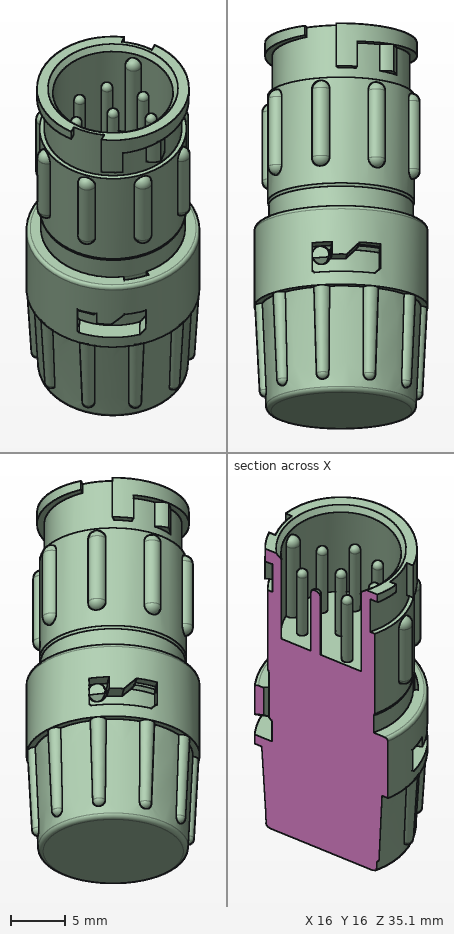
import cadquery as cq
import math


TOTAL_HEIGHT = 35.05
COLLAR_BOTTOM = 9.9
COLLAR_TOP = 17.45
SLEEVE_BOTTOM = 19.6
SLEEVE_TOP = 29.97

SHELL_BOTTOM_RADIUS = 6.9
SHELL_TOP_RADIUS = 7.35
COLLAR_RADIUS = 8.0
GROOVE_RADIUS = 6.65
SLEEVE_RADIUS = 6.75
NECK_RADIUS = 6.35
SHELL_FILLET = 0.45
COLLAR_FILLET = 0.35
SLEEVE_CHAMFER_HEIGHT = 0.28

COLLAR_TURN = 20.0

SHELL_RIB_COUNT = 10
SHELL_RIB_PITCH = 360 / SHELL_RIB_COUNT
SHELL_RIB_TOP = 9.9
SHELL_RIB_BOTTOM = 1.75
SHELL_RIB_TOP_RADIUS = 0.77
SHELL_RIB_BOTTOM_RADIUS = 0.6
SHELL_RIB_TOP_OFFSET = 7.2
SHELL_RIB_BOTTOM_OFFSET = 6.95
SHELL_RIB_OVERLAP = 0.35

SLEEVE_RIB_COUNT = 8
SLEEVE_RIB_BOTTOM = 22.4
SLEEVE_RIB_TOP = 28.88
SLEEVE_RIB_RADIUS = 0.85
SLEEVE_RIB_OFFSET = 6.7

FLANGE_RADIUS = 7.0
FLANGE_GAP = 2.98
FLANGE_OVERLAP = 0.53
LEG_OUTER_EDGE = 3.33
LEG_BOTTOM = 31.0
RAMP_START_Z = 33.37
RAMP_END_Z = 34.15
DETENT_ANGLE = 60
DETENT_HALF_ANGLE = 10
DETENT_BULGE = 0.15
DETENT_OVERLAP = 0.35

SLOT_HALF_LENGTH = 3.15
SLOT_BOTTOM = 11.1
SLOT_TOP = 13.95
SLOT_TAB_BOTTOM = 12.75
SLOT_TAB_START = -1.35
SLOT_CHAMFER = 0.55
SLOT_SMALL_CHAMFER = 0.18
SLOT_FLOOR_RADIUS = 6.38
FLOOR_BEVEL_HEIGHT = 0.35
ENTRY_RADIUS = 7.1
ENTRY_ANGLE = 39
ENTRY_HALF_ANGLE = 9.5

LOCK_PIN_RADIUS = 0.8
LOCK_PIN_Z = 13.07
LOCK_PIN_REACH = 6.9
LOCK_PIN_EMBED = 0.35
LOCK_PIN_BEVEL = LOCK_PIN_REACH - SLOT_FLOOR_RADIUS

BORE_RADIUS = 5.55
BORE_FLOOR = 24.55
BORE_CHAMFER_WIDTH = 0.45
BORE_CHAMFER_DEPTH = 0.53
CONTACT_RADIUS = 0.53
CONTACT_CIRCLE_RADIUS = 3.58
CONTACT_ANGLES = (0, 50, 100, 150, 210, 260, 310)
CONTACT_TOP = 32.35
KEY_RADIUS = 0.75
KEY_OFFSET = 5.22
KEY_TOP = 34.1
MARK_SIZE = 0.4
MARK_DEPTH = 0.18
MARK_X = -0.77
MARK_Y = 2.25

SEAM_ANGLE = 90

CUT_MARGIN = 0.35
UNTRIMMED_TOP = TOTAL_HEIGHT + CUT_MARGIN
HALF_TURN = (0, 180)
AXIS_START = (0, 0, 0)
AXIS_END = (0, 0, 1)


def turned(shape, angle):
    return shape.rotate(AXIS_START, AXIS_END, angle)


def polar(radius, angle):
    radians = math.radians(angle)
    return (radius * math.sin(radians), -radius * math.cos(radians))


def cylinder(radius, bottom, top, x=0.0, y=0.0):
    return cq.Workplane("XY", origin=(x, y, bottom)).circle(radius).extrude(top - bottom)


def ball(radius, x, y, z):
    return cq.Workplane("XY", origin=(x, y, z)).sphere(radius)


def domed_rod(radius, bottom, tip, x, y):
    dome_z = tip - radius
    return cylinder(radius, bottom, dome_z, x, y).union(ball(radius, x, y, dome_z))


def ring_sector(inner, outer, start, end, bottom, top):
    middle = (start + end) / 2
    return (
        cq.Workplane("XY", origin=(0, 0, bottom))
        .moveTo(*polar(inner, start))
        .lineTo(*polar(outer, start))
        .threePointArc(polar(outer, middle), polar(outer, end))
        .lineTo(*polar(inner, end))
        .threePointArc(polar(inner, middle), polar(inner, start))
        .close()
        .extrude(top - bottom)
    )


def turned_body():
    shell = (
        cq.Workplane("XZ")
        .polyline([(0, 0), (SHELL_BOTTOM_RADIUS, 0), (SHELL_TOP_RADIUS, COLLAR_BOTTOM), (0, COLLAR_BOTTOM)])
        .close()
        .revolve(360, AXIS_START, (0, 1, 0))
        .faces("<Z").edges().fillet(SHELL_FILLET)
    )
    collar = cylinder(COLLAR_RADIUS, COLLAR_BOTTOM, COLLAR_TOP).faces(">Z").edges().fillet(COLLAR_FILLET)
    groove = cylinder(GROOVE_RADIUS, COLLAR_TOP, SLEEVE_BOTTOM)
    sleeve = (
        cylinder(SLEEVE_RADIUS, SLEEVE_BOTTOM, SLEEVE_TOP)
        .faces("<Z").edges().chamfer(SLEEVE_CHAMFER_HEIGHT, SLEEVE_RADIUS - GROOVE_RADIUS)
    )
    back = turned(shell.union(collar), COLLAR_TURN - SEAM_ANGLE)
    return back.union(groove).union(sleeve)


def shell_rib():
    height = SHELL_RIB_TOP - SHELL_RIB_BOTTOM
    stretch = (height + SHELL_RIB_OVERLAP) / height
    lean = SHELL_RIB_TOP_OFFSET - SHELL_RIB_BOTTOM_OFFSET
    foot = cq.Vector(0, -SHELL_RIB_BOTTOM_OFFSET, SHELL_RIB_BOTTOM)
    direction = cq.Vector(0, -lean, height)
    cone = cq.Solid.makeCone(
        SHELL_RIB_BOTTOM_RADIUS, SHELL_RIB_TOP_RADIUS, direction.Length * stretch, foot, direction
    )
    return cq.Workplane(cone).union(ball(SHELL_RIB_BOTTOM_RADIUS, *foot.toTuple()))


def sleeve_rib():
    foot = ball(SLEEVE_RIB_RADIUS, 0, -SLEEVE_RIB_OFFSET, SLEEVE_RIB_BOTTOM)
    tip = SLEEVE_RIB_TOP + SLEEVE_RIB_RADIUS
    return domed_rod(SLEEVE_RIB_RADIUS, SLEEVE_RIB_BOTTOM, tip, 0, -SLEEVE_RIB_OFFSET).union(foot)


def flange_half():
    """Half of the flange: a leg, then a rim whose underside climbs along a helix."""
    inner = NECK_RADIUS - FLANGE_OVERLAP
    gap_edge_angle = math.degrees(math.asin(FLANGE_GAP / 2 / FLANGE_RADIUS))
    leg_end_angle = math.degrees(math.asin(LEG_OUTER_EDGE / FLANGE_RADIUS))
    rim_end_angle = 180 - gap_edge_angle
    leg = ring_sector(inner, FLANGE_RADIUS, gap_edge_angle, leg_end_angle, LEG_BOTTOM, UNTRIMMED_TOP)

    climb = RAMP_END_Z - RAMP_START_Z
    pitch = climb * 360 / (rim_end_angle - leg_end_angle)
    helices = [
        cq.Wire.makeHelix(pitch, climb, radius).Edges()[0]
        for radius in (inner, FLANGE_RADIUS + CUT_MARGIN)
    ]
    ramp = cq.Face.makeRuledSurface(*helices).translate(cq.Vector(0, 0, RAMP_START_Z))
    above_ramp = cq.Solid.extrudeLinear(ramp, cq.Vector(0, 0, UNTRIMMED_TOP - RAMP_START_Z))
    above_ramp = cq.Workplane(turned(above_ramp, leg_end_angle - 90))
    rim = ring_sector(
        inner, FLANGE_RADIUS, leg_end_angle, rim_end_angle, RAMP_START_Z, UNTRIMMED_TOP
    ).intersect(above_ramp)
    gap = (
        cq.Workplane("XY", origin=(0, 0, LEG_BOTTOM))
        .rect(FLANGE_GAP, 2 * COLLAR_RADIUS)
        .extrude(UNTRIMMED_TOP - LEG_BOTTOM)
    )
    return leg.union(rim).cut(gap)


def detent():
    """Upright ridge below the rim, rounded on its leading side and flat on the other."""
    inner = NECK_RADIUS - CUT_MARGIN
    return (
        cq.Workplane("XY", origin=(0, 0, LEG_BOTTOM))
        .moveTo(*polar(inner, DETENT_ANGLE))
        .lineTo(*polar(NECK_RADIUS, DETENT_ANGLE - DETENT_HALF_ANGLE))
        .sagittaArc(polar(FLANGE_RADIUS, DETENT_ANGLE), -DETENT_BULGE)
        .lineTo(*polar(NECK_RADIUS, DETENT_ANGLE + DETENT_HALF_ANGLE))
        .close()
        .extrude(RAMP_START_Z + DETENT_OVERLAP - LEG_BOTTOM)
    )


def mouth():
    """Neck with the bayonet flange and detents, left overlong and then trimmed level at the top."""
    body = cylinder(NECK_RADIUS, SLEEVE_TOP, UNTRIMMED_TOP)
    for angle in HALF_TURN:
        body = body.union(turned(flange_half(), angle)).union(turned(detent(), angle))
    return body.intersect(cylinder(COLLAR_RADIUS, SLEEVE_TOP, TOTAL_HEIGHT))


def collar_slot():
    """Stepped bayonet slot cut in to the inner body, with its entry channel to the collar top."""
    tab_rise = SLOT_TOP - SLOT_TAB_BOTTOM
    outline = [
        (-SLOT_HALF_LENGTH, SLOT_TOP),
        (SLOT_TAB_START, SLOT_TOP),
        (SLOT_TAB_START, SLOT_TAB_BOTTOM),
        (0, SLOT_TAB_BOTTOM),
        (tab_rise, SLOT_TOP),
        (SLOT_HALF_LENGTH, SLOT_TOP),
        (SLOT_HALF_LENGTH, SLOT_BOTTOM + SLOT_CHAMFER),
        (SLOT_HALF_LENGTH - SLOT_CHAMFER, SLOT_BOTTOM),
        (SLOT_SMALL_CHAMFER - SLOT_HALF_LENGTH, SLOT_BOTTOM),
        (-SLOT_HALF_LENGTH, SLOT_BOTTOM + SLOT_SMALL_CHAMFER),
    ]
    prism = cq.Workplane("XZ").polyline(outline).close().extrude(COLLAR_RADIUS + CUT_MARGIN)
    bevel_z = SLOT_TOP - FLOOR_BEVEL_HEIGHT
    inner_body = (
        cq.Workplane("XZ")
        .polyline([
            (0, SLOT_BOTTOM),
            (SLOT_FLOOR_RADIUS, SLOT_BOTTOM),
            (SLOT_FLOOR_RADIUS, bevel_z),
            (GROOVE_RADIUS, SLOT_TOP),
            (0, SLOT_TOP),
        ])
        .close()
        .revolve(360, AXIS_START, (0, 1, 0))
    )
    slot = turned(prism.cut(inner_body), COLLAR_TURN)
    entry = ring_sector(
        GROOVE_RADIUS, ENTRY_RADIUS,
        ENTRY_ANGLE - ENTRY_HALF_ANGLE, ENTRY_ANGLE + ENTRY_HALF_ANGLE,
        bevel_z, COLLAR_TOP,
    )
    return slot.union(entry)


def lock_pin():
    """Radial pin on the inner body, bevelled along the lower side of its end."""
    root = SLOT_FLOOR_RADIUS - LOCK_PIN_EMBED
    pin = (
        cq.Workplane("XZ", origin=(0, -root, LOCK_PIN_Z))
        .circle(LOCK_PIN_RADIUS)
        .extrude(LOCK_PIN_REACH - root)
    )
    pin_bottom = LOCK_PIN_Z - LOCK_PIN_RADIUS
    bevel = (
        cq.Workplane("YZ")
        .polyline([
            (-LOCK_PIN_REACH, pin_bottom),
            (-LOCK_PIN_REACH, pin_bottom + LOCK_PIN_BEVEL),
            (LOCK_PIN_BEVEL - LOCK_PIN_REACH, pin_bottom),
        ])
        .close()
        .extrude(LOCK_PIN_RADIUS, both=True)
    )
    return pin.cut(bevel)


def bore():
    mouth_radius = BORE_RADIUS + BORE_CHAMFER_WIDTH
    return (
        cq.Workplane("XZ")
        .polyline([
            (0, BORE_FLOOR),
            (BORE_RADIUS, BORE_FLOOR),
            (BORE_RADIUS, TOTAL_HEIGHT - BORE_CHAMFER_DEPTH),
            (mouth_radius, TOTAL_HEIGHT),
            (0, TOTAL_HEIGHT),
        ])
        .close()
        .revolve(360, AXIS_START, (0, 1, 0))
    )


part = turned_body().union(mouth())

for index in range(SHELL_RIB_COUNT):
    part = part.union(turned(shell_rib(), COLLAR_TURN + (index + 0.5) * SHELL_RIB_PITCH))

for index in range(SLEEVE_RIB_COUNT):
    part = part.union(turned(sleeve_rib(), index * 360 / SLEEVE_RIB_COUNT))

for angle in HALF_TURN:
    part = part.cut(turned(collar_slot(), angle))
    part = part.union(turned(lock_pin(), angle))

part = part.cut(bore())

contact_places = [(0, 0)] + [polar(CONTACT_CIRCLE_RADIUS, angle) for angle in CONTACT_ANGLES]
for x, y in contact_places:
    part = part.union(domed_rod(CONTACT_RADIUS, BORE_FLOOR, CONTACT_TOP, x, y))
part = part.union(domed_rod(KEY_RADIUS, BORE_FLOOR, KEY_TOP, 0, KEY_OFFSET))

mark = (
    cq.Workplane("XY", origin=(MARK_X, MARK_Y, BORE_FLOOR))
    .rect(MARK_SIZE, MARK_SIZE)
    .extrude(-MARK_DEPTH)
)
result = part.cut(mark)